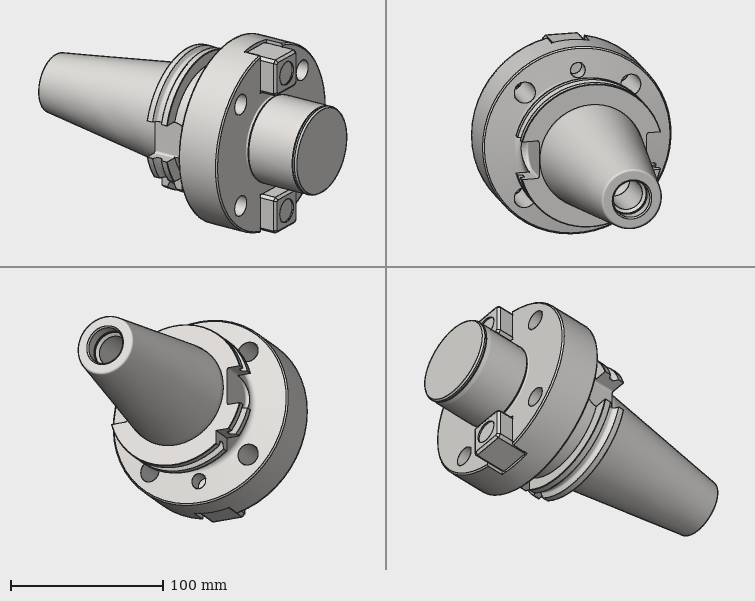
import cadquery as cq
import math


gauge_radius = 34.925
taper_length = 101.6
taper_ratio = 7 / 24
taper_small_radius = gauge_radius - taper_length * taper_ratio / 2
taper_end_fillet = 1.5

collar_start = 3.2
collar_end = 19.1
collar_radius = 48.75
collar_edge = 0.3
groove_center = 11.1
groove_floor_radius = 45.6
groove_top_width = 7.0
groove_half_angle = 30
groove_fillet = 1.2

neck_radius = 40.0
neck_end = 33.0
neck_fillet = 4.0
flange_back_angle = 7.5

flange_radius = 64.0
flange_front = 70.0
flange_edge = 1.0

pilot_radius = 30.0
pilot_end = flange_front + 40.0
undercut_radius = 29.4
undercut_fillet = 0.7
undercut_end = flange_front + 1.4
pilot_start = flange_front + 2.4
relief_start = pilot_end - 7.0
relief_end = pilot_end - 3.6
relief_radius = 29.5
ring_start = pilot_end - 2.7
ring_end = pilot_end - 1.5
pilot_tip_radius = 29.2

bore_mouth_radius = 13.4
bore_radius = 12.4
bore_depth = 9.4
bore_relief_radius = 12.8
bore_relief_end = 10.7
thread_radius = 10.4
thread_depth = 45.0
drill_tip_angle = 118

keyway_half_width = 12.85
keyway_fillet = 1.6
keyway_front_floor = 37.6
keyway_back_floor = 35.3

notch_offset = 29.6

bolt_circle_radius = 50.8
bolt_hole_radius = 7.0

key_width = 25.4
key_chamfer = 2.0
key_front_chamfer = 1.7
key_back = 57.3
key_front = flange_front + 12.0
key_inner = 36.0
key_outer = key_inner + key_width
key_center = (key_inner + key_outer) / 2

screw_radius = 5.0
screw_tip = key_back - 10.0
head_radius = 8.0
head_height = 10.0
head_recess = 1.0
head_front = key_front - head_recess
head_seat = head_front - head_height

clearance = 5.0


def cylinder_x(start, end, radius, z):
    """Cylinder parallel to the X axis, centred at y = 0 and height z."""
    return cq.Workplane("YZ", origin=(start, 0, z)).circle(radius).extrude(end - start)


def block(x_range, y_range, z_range):
    """Box given by its limits along each axis."""
    sizes = [high - low for low, high in (x_range, y_range, z_range)]
    corner = (x_range[0], y_range[0], z_range[0])
    return cq.Workplane("XY").box(*sizes, centered=False).translate(corner)


def collar_groove():
    """Ring cutter for the V-groove, with both floor corners rounded."""
    top_half = groove_top_width / 2
    slope = math.tan(math.radians(groove_half_angle))
    floor_half = top_half - (collar_radius - groove_floor_radius) * slope
    rim_half = top_half + clearance * slope
    ring = (
        cq.Workplane("XZ")
        .moveTo(groove_center - rim_half, collar_radius + clearance)
        .lineTo(groove_center - floor_half, groove_floor_radius)
        .lineTo(groove_center + floor_half, groove_floor_radius)
        .lineTo(groove_center + rim_half, collar_radius + clearance)
        .close()
        .revolve(360, (0, 0, 0), (1, 0, 0))
    )
    floor_edges = cq.selectors.RadiusNthSelector(0)
    return ring.edges(floor_edges).fillet(groove_fillet)


def turned_holder():
    """Outer shape of the holder, revolved about the X axis."""
    angle = math.radians(flange_back_angle)
    fillet_x = neck_end + neck_fillet * math.cos(angle)
    fillet_radius = neck_radius + neck_fillet * (1 - math.sin(angle))
    mid_angle = (math.pi / 2 - angle) / 2
    fillet_mid = (
        neck_end + neck_fillet * math.sin(mid_angle),
        neck_radius + neck_fillet * (1 - math.cos(mid_angle)),
    )
    back_rim_radius = flange_radius - flange_edge
    back_rim_x = fillet_x + (back_rim_radius - fillet_radius) * math.tan(angle)

    profile = (
        cq.Workplane("XZ")
        .moveTo(-taper_length, 0)
        .lineTo(-taper_length, taper_small_radius)
        .lineTo(0, gauge_radius)
        .lineTo(collar_start, gauge_radius)
        .lineTo(collar_start, collar_radius - collar_edge)
        .lineTo(collar_start + collar_edge, collar_radius)
        .lineTo(collar_end - collar_edge, collar_radius)
        .lineTo(collar_end, collar_radius - collar_edge)
        .lineTo(collar_end, neck_radius)
        .lineTo(neck_end, neck_radius)
        .threePointArc(fillet_mid, (fillet_x, fillet_radius))
        .lineTo(back_rim_x, back_rim_radius)
        .lineTo(back_rim_x + flange_edge, flange_radius)
        .lineTo(flange_front - flange_edge, flange_radius)
        .lineTo(flange_front, flange_radius - flange_edge)
        .lineTo(flange_front, undercut_radius + undercut_fillet)
        .tangentArcPoint((flange_front + undercut_fillet, undercut_radius), relative=False)
        .lineTo(undercut_end, undercut_radius)
        .lineTo(pilot_start, pilot_radius)
        .lineTo(relief_start, pilot_radius)
        .lineTo(relief_end, relief_radius)
        .lineTo(ring_start, pilot_radius)
        .lineTo(ring_end, pilot_radius)
        .lineTo(pilot_end, pilot_tip_radius)
        .lineTo(pilot_end, 0)
        .close()
    )
    turned = profile.revolve(360, (0, 0, 0), (1, 0, 0)).cut(collar_groove())
    return turned.faces("<X").edges().fillet(taper_end_fillet)


def drawbar_bore():
    """Bore with a chamfered mouth, a relief groove, a 45 degree step, a thread core and a drill tip."""
    mouth = bore_mouth_radius - bore_radius
    step = bore_radius - thread_radius
    tip = thread_radius / math.tan(math.radians(drill_tip_angle / 2))
    return (
        cq.Workplane("XZ")
        .moveTo(0, 0)
        .lineTo(0, bore_mouth_radius)
        .lineTo(mouth, bore_radius)
        .lineTo(bore_depth, bore_radius)
        .lineTo(bore_depth, bore_relief_radius)
        .lineTo(bore_relief_end, bore_relief_radius)
        .lineTo(bore_relief_end, bore_radius)
        .lineTo(bore_relief_end + step, thread_radius)
        .lineTo(thread_depth, thread_radius)
        .lineTo(thread_depth + tip, 0)
        .close()
        .revolve(360, (0, 0, 0), (1, 0, 0))
        .translate((-taper_length, 0, 0))
    )


def keyway(floor, side):
    """Round-ended keyway cutter with a filleted floor; side is -1 for -Y and +1 for +Y."""
    start = collar_start - clearance
    depth = collar_radius + clearance - floor
    cutter = (
        cq.Workplane("XZ", origin=(0, -floor, 0))
        .moveTo(start, -keyway_half_width)
        .lineTo(collar_end, -keyway_half_width)
        .threePointArc((collar_end + keyway_half_width, 0), (collar_end, keyway_half_width))
        .lineTo(start, keyway_half_width)
        .close()
        .extrude(depth)
        .faces(">Y")
        .edges()
        .fillet(keyway_fillet)
    )
    return cutter if side < 0 else cutter.mirror("XZ")


def orientation_notch():
    """Square corner cutter through the collar."""
    reach = (-collar_radius, -notch_offset)
    return block((collar_start, collar_end), reach, reach)


def bolt_holes():
    """Four bolt holes through the flange, midway between the Y and Z axes."""
    return (
        cq.Workplane("YZ", origin=(neck_end, 0, 0))
        .polarArray(bolt_circle_radius, 45, 360, 4)
        .circle(bolt_hole_radius)
        .extrude(flange_front + clearance - neck_end)
    )


def key_slot(side):
    """Slot for one key, open to the front and the rim; side is +1 for +Z and -1 for -Z."""
    slot = block(
        (key_back, flange_front + clearance),
        (-key_width / 2, key_width / 2),
        (key_inner, flange_radius + clearance),
    )
    return slot if side > 0 else slot.mirror("XY")


def screw_hole(side):
    """Hole through the flange that takes the threaded end of one key screw."""
    return cylinder_x(neck_end, key_back, screw_radius, side * key_center)


def make_holder():
    """Turned body with its bore, keyways, notch, holes and key slots cut."""
    holder = turned_holder().cut(drawbar_bore())
    holder = holder.cut(keyway(keyway_front_floor, -1)).cut(keyway(keyway_back_floor, 1))
    holder = holder.cut(orientation_notch()).cut(bolt_holes())
    for side in (1, -1):
        holder = holder.cut(key_slot(side)).cut(screw_hole(side))
    return holder


def make_key_screw(side):
    """Cap screw with its head at the front of the key and its tip inside the flange."""
    z = side * key_center
    shank = cylinder_x(screw_tip, head_seat, screw_radius, z)
    head = cylinder_x(head_seat, head_front, head_radius, z)
    return shank.union(head)


def make_drive_key(side):
    """Square key with chamfered long, front and upright back edges, counterbored for its screw."""
    z = side * key_center
    half = key_width / 2
    key = block((key_back, key_front), (-half, half), (z - half, z + half))
    key = key.edges("|X").chamfer(key_chamfer).faces(">X").edges().chamfer(key_front_chamfer)
    key = key.faces("<X").edges("|Z").chamfer(key_chamfer)
    shank_hole = cylinder_x(key_back, head_seat, screw_radius, z)
    counterbore = cylinder_x(head_seat, key_front, head_radius, z)
    return key.cut(shank_hole).cut(counterbore)


holder = make_holder()
drive_keys = [make_drive_key(side) for side in (1, -1)]
key_screws = [make_key_screw(side) for side in (1, -1)]

result = cq.Compound.makeCompound(
    [
        holder.val(),
        *[key.val() for key in drive_keys],
        *[screw.val() for screw in key_screws],
    ]
)